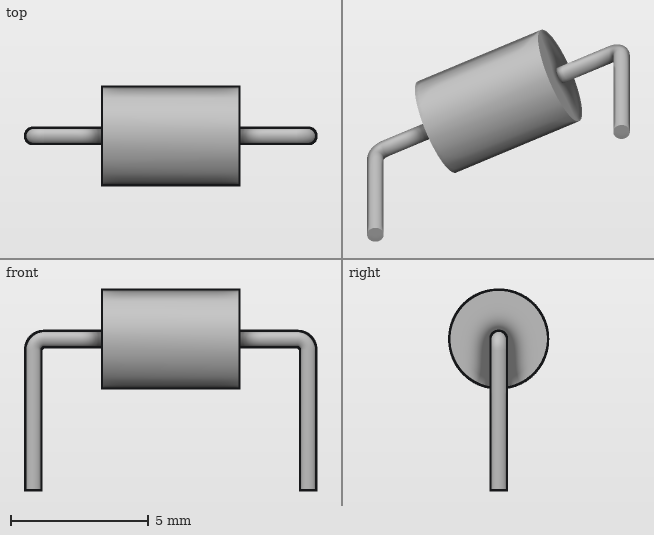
import cadquery as cq
import math

overall_length = 10.6
overall_height = 7.3
body_diameter = 3.6
body_length = 5.0
wire_diameter = 0.6
bend_radius = 0.4

leg_x = (overall_length - wire_diameter) / 2
leg_bottom_z = body_diameter / 2 - overall_height
bend_start_x = leg_x - bend_radius
bend_middle_x = bend_start_x + bend_radius * math.sin(math.radians(45))
bend_middle_z = -bend_radius + bend_radius * math.cos(math.radians(45))


def make_body():
    """Cylindrical body with an axial hole for the wire."""
    return (
        cq.Workplane("YZ")
        .workplane(offset=-body_length / 2)
        .circle(body_diameter / 2)
        .circle(wire_diameter / 2)
        .extrude(body_length)
    )


def make_wire():
    """One round wire through the body, bent down into a leg at each end."""
    path = (
        cq.Workplane("XZ")
        .moveTo(-leg_x, leg_bottom_z)
        .lineTo(-leg_x, -bend_radius)
        .threePointArc((-bend_middle_x, bend_middle_z), (-bend_start_x, 0))
        .lineTo(bend_start_x, 0)
        .threePointArc((bend_middle_x, bend_middle_z), (leg_x, -bend_radius))
        .lineTo(leg_x, leg_bottom_z)
    )
    return (
        cq.Workplane("XY", origin=(-leg_x, 0, leg_bottom_z))
        .circle(wire_diameter / 2)
        .sweep(path)
    )


body = make_body()
wire = make_wire()

result = cq.Compound.makeCompound([body.val(), wire.val()])